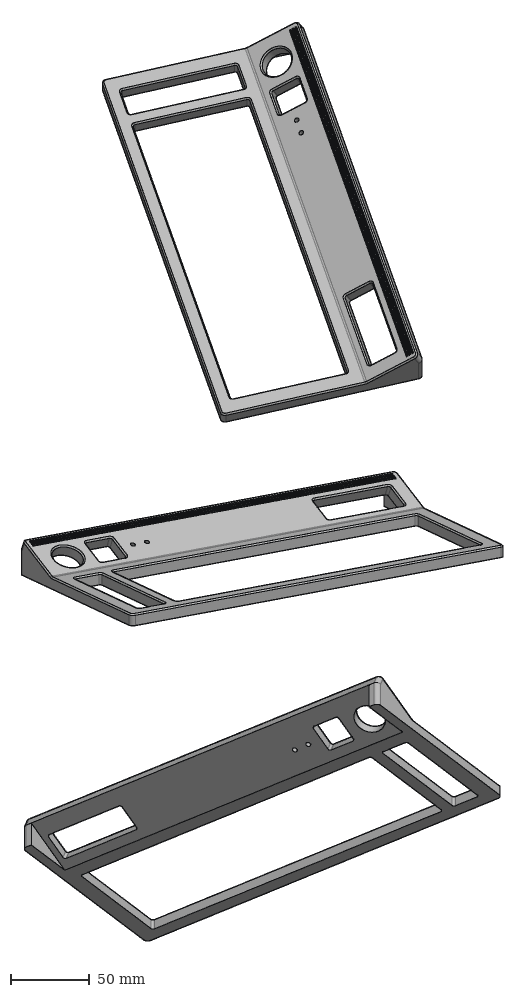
import cadquery as cq
import math

WIDTH = 281.18
DEPTH = 133.41
HEIGHT = 23.58

PLATE = 7.95
TILT = 25.0
CORNER_RADIUS = 3.0
RIM_CHAMFER = 1.0
FOLD_RADIUS = 3.0
SIDE_WALL = 7.0
CUT_OVERSHOOT = 1.0

KEY_PITCH = 19.05
KEY_CLEARANCE = 0.95
ONE_KEY = KEY_PITCH + KEY_CLEARANCE
WIDE_OPENING = 3 * KEY_PITCH + KEY_CLEARANCE
MAIN_WINDOW = 12 * KEY_PITCH + KEY_CLEARANCE
WINDOW_HEIGHT = 4 * KEY_PITCH + KEY_CLEARANCE
WINDOW_GAP = KEY_PITCH / 2 - KEY_CLEARANCE
FRONT_MARGIN = 9.4
OPENING_RADIUS = 1.5
OPENING_CHAMFER = 1.0

PANEL_ROW = 15.6
KNOB_DIAMETER = 20.5
LED_DIAMETER = 3.1
LED_ROW = 15.3
LED_PITCH = 10.6
LED_GAP = 10.1

GROOVE_COUNT = 3
GROOVE_WIDTH = 1.0
GROOVE_PITCH = 2.0
GROOVE_DEPTH = 1.5
GROOVE_END_MARGIN = 4.0
GROOVE_RIDGE_MARGIN = 2.4

SIN = math.sin(math.radians(TILT))
COS = math.cos(math.radians(TILT))
FRONT_Y = -DEPTH / 2
BACK_Y = DEPTH / 2
LEFT_X = -WIDTH / 2
RIDGE_Z = HEIGHT + RIM_CHAMFER * SIN
RIDGE_Y = BACK_Y - PLATE * SIN
BEVEL_Z = RIDGE_Z - PLATE * COS
SLOPE_LENGTH = (RIDGE_Z - PLATE) / SIN
FOLD_Y = RIDGE_Y - SLOPE_LENGTH * COS
SIDE_MARGIN = (WIDTH - ONE_KEY - WINDOW_GAP - MAIN_WINDOW) / 2
NARROW_X = LEFT_X + SIDE_MARGIN + ONE_KEY / 2
MAIN_LEFT = NARROW_X + ONE_KEY / 2 + WINDOW_GAP
MAIN_RIGHT = MAIN_LEFT + MAIN_WINDOW
WINDOW_Y = FRONT_Y + FRONT_MARGIN + WINDOW_HEIGHT / 2

FRAME = cq.Plane.XY(origin=(0, 0, PLATE))
PANEL = cq.Plane(origin=(0, FOLD_Y, PLATE), xDir=(1, 0, 0), normal=(0, -SIN, COS))


def along_x(points, length):
    """Prism of a (y, z) outline, centred on X = 0."""
    return cq.Workplane("YZ").polyline(points).close().extrude(length / 2, both=True)


def nearest_to(x, y, z):
    """Selector of the edge whose centre is closest to a point."""
    return cq.selectors.NearestToPointSelector((x, y, z))


def body():
    """Solid wedge with rounded corners and a chamfered upper rim."""
    solid = along_x(
        [
            (FRONT_Y, 0),
            (FRONT_Y, PLATE),
            (FOLD_Y, PLATE),
            (RIDGE_Y, RIDGE_Z),
            (BACK_Y, BEVEL_Z),
            (BACK_Y, 0),
        ],
        WIDTH,
    )
    solid = solid.edges(nearest_to(0, FOLD_Y, PLATE)).fillet(FOLD_RADIUS)
    bevel_y = (RIDGE_Y + BACK_Y) / 2
    bevel_z = (RIDGE_Z + BEVEL_Z) / 2
    rounded = solid.edges("|Z")
    for side_x in (LEFT_X, -LEFT_X):
        rounded = rounded.add(solid.edges(nearest_to(side_x, bevel_y, bevel_z)))
    solid = rounded.fillet(CORNER_RADIUS)
    return solid.edges(nearest_to(0, RIDGE_Y, RIDGE_Z)).chamfer(RIM_CHAMFER)


def rear_cavity():
    """Wedge parallel to the panel below its plate, open to the rear and the underside."""
    front_edge_y = BACK_Y - BEVEL_Z * COS / SIN
    return along_x([(front_edge_y, 0), (BACK_Y, BEVEL_Z), (BACK_Y, 0)], WIDTH - 2 * SIDE_WALL)


def flared_cutter(outline):
    """Cutter through the plate along an outline placed one chamfer below the face, flared at 45 degrees."""
    shaft = outline.extrude(OPENING_CHAMFER - PLATE - CUT_OVERSHOOT)
    flare = outline.extrude(OPENING_CHAMFER, taper=-45)
    return shaft.union(flare)


def rectangular_opening(plane, x, y, width, height):
    """Cutter for a rounded rectangular opening with a chamfered upper rim."""
    outline = cq.Sketch().rect(width, height).vertices().fillet(OPENING_RADIUS)
    placed = cq.Workplane(plane).workplane(offset=-OPENING_CHAMFER).center(x, y).placeSketch(outline)
    return flared_cutter(placed)


def key_windows():
    """Narrow and main windows through the flat key frame."""
    main_x = MAIN_LEFT + MAIN_WINDOW / 2
    narrow = rectangular_opening(FRAME, NARROW_X, WINDOW_Y, ONE_KEY, WINDOW_HEIGHT)
    main = rectangular_opening(FRAME, main_x, WINDOW_Y, MAIN_WINDOW, WINDOW_HEIGHT)
    return narrow.union(main)


def knob_hole():
    """Round hole in line with the narrow window."""
    circle = cq.Sketch().circle(KNOB_DIAMETER / 2)
    placed = cq.Workplane(PANEL).workplane(offset=-OPENING_CHAMFER).center(NARROW_X, PANEL_ROW)
    return flared_cutter(placed.placeSketch(circle))


def panel_openings():
    """Square and wide openings, flush with the left and right ends of the main window."""
    square_x = MAIN_LEFT + ONE_KEY / 2
    wide_x = MAIN_RIGHT - WIDE_OPENING / 2
    square = rectangular_opening(PANEL, square_x, PANEL_ROW, ONE_KEY, ONE_KEY)
    wide = rectangular_opening(PANEL, wide_x, PANEL_ROW, WIDE_OPENING, ONE_KEY)
    return square.union(wide)


def led_holes():
    """Pair of small holes through the panel, right of the square opening."""
    first_x = MAIN_LEFT + ONE_KEY + LED_GAP
    points = [(first_x, LED_ROW), (first_x + LED_PITCH, LED_ROW)]
    return cq.Workplane(PANEL).pushPoints(points).circle(LED_DIAMETER / 2).extrude(-PLATE - CUT_OVERSHOOT)


def ridge_grooves():
    """Parallel shallow grooves just below the ridge."""
    first_y = SLOPE_LENGTH - GROOVE_RIDGE_MARGIN - GROOVE_WIDTH / 2
    centres = [(0, first_y - index * GROOVE_PITCH) for index in range(GROOVE_COUNT)]
    outlines = cq.Workplane(PANEL).pushPoints(centres).rect(WIDTH - 2 * GROOVE_END_MARGIN, GROOVE_WIDTH)
    return outlines.extrude(-GROOVE_DEPTH)


result = (
    body()
    .cut(rear_cavity())
    .cut(key_windows())
    .cut(knob_hole())
    .cut(panel_openings())
    .cut(led_holes())
    .cut(ridge_grooves())
)